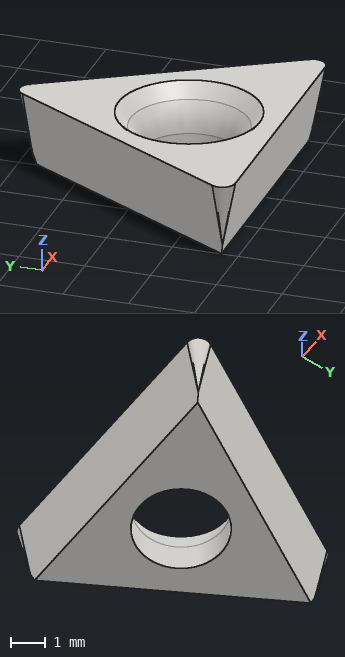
import cadquery as cq
import math

overall_width = 9.04
thickness = 2.38
corner_radius = 0.4
clearance_angle = math.radians(11)

bore_radius = 1.45
mouth_radius = 2.15
throat_radius = 1.45
cone_half_angle = math.radians(40)

apex_depth = corner_radius / math.tan(clearance_angle)

core_side = overall_width - 2 * corner_radius
core_inradius = core_side / (2 * math.sqrt(3))
core_circumradius = 2 * core_inradius


def triangle_points(inradius):
    """Corners of an equilateral triangle with one corner toward +Y."""
    angles = [math.radians(a) for a in (90, 210, 330)]
    return [(2 * inradius * math.cos(a), 2 * inradius * math.sin(a)) for a in angles]


def make_lower_body():
    """Sharp-cornered frustum below the corner apexes."""
    return (
        cq.Workplane("XY").workplane(offset=-apex_depth)
        .polyline(triangle_points(core_inradius)).close()
        .extrude(apex_depth - thickness, taper=math.degrees(clearance_angle))
    )


def make_core():
    """Straight triangular prism between the corner centres."""
    return (
        cq.Workplane("XY").workplane(offset=-apex_depth)
        .polyline(triangle_points(core_inradius)).close()
        .extrude(apex_depth)
    )


def make_flank():
    """Wedge that gives the -Y side its clearance angle."""
    return (
        cq.Workplane("YZ").workplane(offset=-core_side / 2)
        .moveTo(-core_inradius, 0)
        .lineTo(-core_inradius - corner_radius, 0)
        .lineTo(-core_inradius, -apex_depth)
        .close()
        .extrude(core_side)
    )


def make_corner():
    """Third of a downward-pointing cone that fills the gap between two flanks at the +Y corner."""
    sector = (
        cq.Workplane("XZ")
        .lineTo(corner_radius, 0)
        .lineTo(0, -apex_depth)
        .close()
        .revolve(120, (0, 0), (0, 1))
    )
    sector = sector.rotate((0, 0, 0), (0, 0, 1), 30)
    return sector.translate((0, core_circumradius, 0))


def make_hole():
    """Revolved cutter for the screw hole."""
    throat_top_radius = bore_radius + throat_radius * (1 - math.cos(cone_half_angle))
    cone_depth = (mouth_radius - throat_top_radius) / math.tan(cone_half_angle)
    throat_bottom = -cone_depth - throat_radius * math.sin(cone_half_angle)
    mid_angle = cone_half_angle / 2
    throat_middle = (
        bore_radius + throat_radius * (1 - math.cos(mid_angle)),
        throat_bottom + throat_radius * math.sin(mid_angle),
    )
    return (
        cq.Workplane("XZ")
        .lineTo(mouth_radius, 0)
        .lineTo(throat_top_radius, -cone_depth)
        .threePointArc(throat_middle, (bore_radius, throat_bottom))
        .lineTo(bore_radius, -thickness)
        .lineTo(0, -thickness)
        .close()
        .revolve(360, (0, 0), (0, 1))
    )


body = make_core().union(make_lower_body())
for turn in (0, 120, 240):
    body = body.union(make_flank().rotate((0, 0, 0), (0, 0, 1), turn))
    body = body.union(make_corner().rotate((0, 0, 0), (0, 0, 1), turn))

result = body.clean().cut(make_hole())